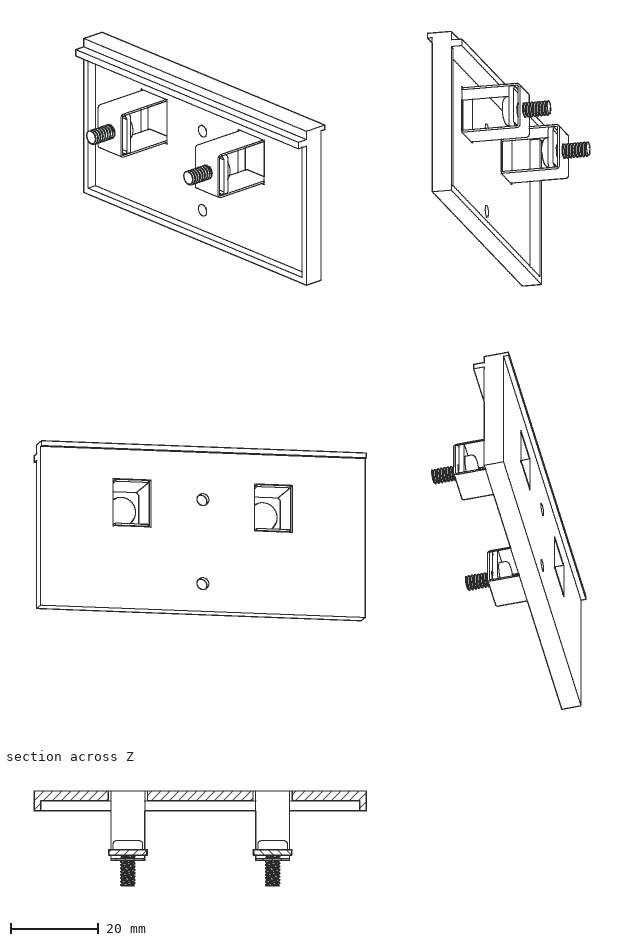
import cadquery as cq

plate_width = 75.8
plate_height = 38.0
plate_thickness = 4.55
frame_width = 1.5
recess_depth = 2.3
back_lip_depth = 1.1
back_lip_height = 1.1
rail_depth = 2.5
rail_height = 1.6
rail_drop = 2.05
hole_diameter = 2.7
hole_heights = (6.45, 25.9)

terminal_spacing = 33.05
terminal_x_positions = (-terminal_spacing / 2, terminal_spacing / 2)
terminal_z = 24.55
window_width = 8.9
window_height = 10.9

bracket_width = 7.8
bracket_height = 10.6
bracket_reach = 11.4
sheet_thickness = 0.45
bend_radius = 0.75

clamp_width = window_width
clamp_height = bracket_height - 2 * sheet_thickness
clamp_back = 8.9
clamp_thickness = 1.1
clamp_corner_radius = 0.9
lip_rise = 0.2
lip_base = 0.9
lip_tip_inset = 0.3

head_diameter = 6.75
head_height = 2.05
head_edge_radius = 0.75
thread_diameter = 3.3
root_diameter = 2.7
thread_pitch = 0.75
thread_start = 9.3
groove_mouth = 0.7
groove_floor = 0.15
screw_reach = 17.1

rail_top = plate_height - rail_drop
rail_bottom = rail_top - rail_height
clamp_front = clamp_back + clamp_thickness
thread_length = screw_reach + thread_pitch - thread_start


def y_box(x_size, y_start, y_end, z_start, z_end):
    """Box centred on X that spans the given Y and Z ranges."""
    return (
        cq.Workplane("XY")
        .box(x_size, y_end - y_start, z_end - z_start, centered=(True, False, False))
        .translate((0, y_start, z_start))
    )


def y_cylinder(diameter, start_depth, end_depth):
    """Cylinder on the Y axis between two depths in front of the plate."""
    return (
        cq.Workplane("XZ", origin=(0, -start_depth, 0))
        .circle(diameter / 2)
        .extrude(end_depth - start_depth)
    )


def make_plate():
    """Framed plate with rail, back lip, screw holes and terminal windows."""
    slab = y_box(plate_width, 0, plate_thickness, 0, plate_height)
    plate_back = plate_thickness + back_lip_depth
    lip = y_box(plate_width, 0, plate_back, plate_height - back_lip_height, plate_height)
    rail = y_box(plate_width, -rail_depth, plate_thickness, rail_bottom, rail_top)
    recess = y_box(plate_width - 2 * frame_width, 0, recess_depth, frame_width, rail_bottom)
    plate = slab.union(lip).cut(recess).union(rail)

    for height in hole_heights:
        hole = y_cylinder(hole_diameter, -plate_thickness, 0)
        plate = plate.cut(hole.translate((0, 0, height)))

    window = y_box(
        window_width, 0, plate_thickness,
        terminal_z - window_height / 2, terminal_z + window_height / 2,
    )
    for x in terminal_x_positions:
        plate = plate.cut(window.translate((x, 0, 0)))
    return plate


def make_bracket():
    """U-shaped bracket whose legs run through the plate window to the plate back."""
    half_height = bracket_height / 2
    outside = y_box(bracket_width, -bracket_reach, plate_thickness, -half_height, half_height)
    outside = outside.edges("|X and <Y").fillet(bend_radius)
    half_gap = half_height - sheet_thickness
    inside = y_box(
        bracket_width, sheet_thickness - bracket_reach, plate_thickness, -half_gap, half_gap
    )
    inside = inside.edges("|X and <Y").fillet(bend_radius - sheet_thickness)
    screw_hole = y_cylinder(thread_diameter, 0, bracket_reach)
    return outside.cut(inside).cut(screw_hole)


def make_clamp_plate():
    """Rounded rectangular slab with a pointed lip at each end of its front face."""
    half_height = clamp_height / 2
    profile = (
        cq.Workplane("YZ", origin=(-clamp_width / 2, 0, 0))
        .moveTo(-clamp_back, -half_height)
        .lineTo(-clamp_front, -half_height)
        .lineTo(-clamp_front - lip_rise, lip_tip_inset - half_height)
        .lineTo(-clamp_front, lip_base - half_height)
        .lineTo(-clamp_front, half_height - lip_base)
        .lineTo(-clamp_front - lip_rise, half_height - lip_tip_inset)
        .lineTo(-clamp_front, half_height)
        .lineTo(-clamp_back, half_height)
        .close()
        .extrude(clamp_width)
    )
    outline = (
        cq.Workplane("XZ")
        .rect(clamp_width, clamp_height)
        .extrude(bracket_reach)
        .edges("|Y")
        .fillet(clamp_corner_radius)
    )
    screw_hole = y_cylinder(thread_diameter, 0, bracket_reach)
    return profile.intersect(outline).cut(screw_hole)


def make_thread_groove():
    """Left-hand helical groove with a flat floor that runs out past the screw tip."""
    crest = thread_diameter / 2
    root = root_diameter / 2
    flank_slope = (groove_mouth - groove_floor) / 2 / (crest - root)
    overshoot = 0.04
    outside = crest + overshoot
    half_floor = groove_floor / 2
    half_outside = groove_mouth / 2 + flank_slope * overshoot
    path = cq.Wire.makeHelix(thread_pitch, thread_length, root, lefthand=True)
    return (
        cq.Workplane("XZ")
        .moveTo(root, -half_floor)
        .lineTo(outside, -half_outside)
        .lineTo(outside, half_outside)
        .lineTo(root, half_floor)
        .close()
        .sweep(cq.Workplane(path), isFrenet=True)
        .rotate((0, 0, 0), (1, 0, 0), 90)
        .translate((0, -thread_start, 0))
    )


def make_screw():
    """Pan-head screw along Y, threaded from inside the clamp plate to the tip."""
    head = y_cylinder(head_diameter, clamp_back - head_height, clamp_back)
    head = head.edges(">Y").fillet(head_edge_radius)
    shank = y_cylinder(thread_diameter, clamp_back, screw_reach)
    return shank.cut(make_thread_groove()).union(head)


plate = make_plate()
terminal_bodies = []
for x in terminal_x_positions:
    for body in (make_bracket(), make_clamp_plate(), make_screw()):
        terminal_bodies.append(body.translate((x, 0, terminal_z)).val())

result = cq.Compound.makeCompound([plate.val(), *terminal_bodies])